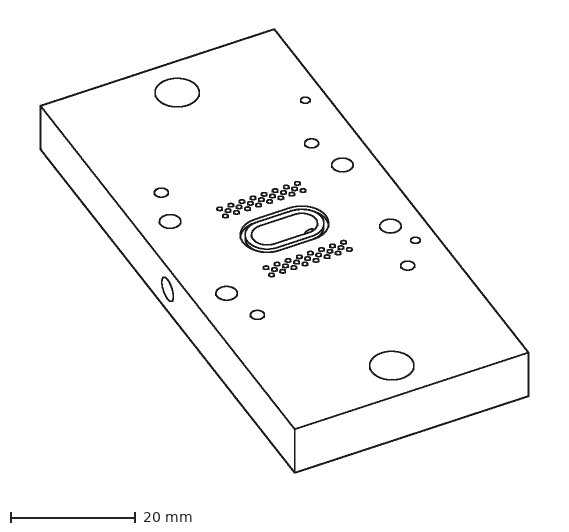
import cadquery as cq

plate_length = 90.0
plate_width = 42.0
plate_thickness = 9.2

pad_length = 21.15
pad_width = 16.5
pad_height = 2.5

end_spacing = 6.2
window_width = 5.0
groove_inner_width = 7.1
groove_outer_width = 8.6
groove_depth = 0.7

cross_bore_diameter = 4.05

mount_diameter = 7.1
mount_x = 38.0

bolt_diameter = 3.4
bolt_x = 10.0
bolt_y = 15.5
offset_bolt_x = 7.0

screw_diameter = 2.25
screw_x = 17.0
screw_y = 13.5

pin_diameter = 1.5
left_pin_x = -27.0
right_pin_x = 12.0
pin_y = 17.5

contact_diameter = 0.88
contact_group_x = 8.2
contact_span = 13.95
outer_rows = 8
middle_rows = outer_rows - 1
contact_pitch = contact_span / (outer_rows - 1)


def through_holes(points, diameter):
    """Vertical cylinders that reach through both the plate and the pad."""
    return (
        cq.Workplane("XY")
        .workplane(offset=-pad_height)
        .pushPoints(points)
        .circle(diameter / 2)
        .extrude(pad_height + plate_thickness)
    )


def oblong(width, bottom, top):
    """Round-ended block along Y around the shared end centres."""
    return (
        cq.Workplane("XY")
        .workplane(offset=bottom)
        .slot2D(end_spacing + width, width, 90)
        .extrude(top - bottom)
    )


def column(x, rows):
    """Evenly pitched points along Y, centred on the X axis."""
    return [(x, (row - (rows - 1) / 2) * contact_pitch) for row in range(rows)]


def plate_with_pad():
    plate = cq.Workplane("XY").box(plate_length, plate_width, plate_thickness, centered=(True, True, False))
    pad = (
        cq.Workplane("XY")
        .workplane(offset=-pad_height)
        .rect(pad_length, pad_width)
        .extrude(pad_height)
    )
    return plate.union(pad)


def seal_groove():
    floor = plate_thickness - groove_depth
    outer = oblong(groove_outer_width, floor, plate_thickness)
    return outer.cut(oblong(groove_inner_width, floor, plate_thickness))


def cross_bore():
    return (
        cq.Workplane("XZ")
        .center(0, plate_thickness / 2)
        .circle(cross_bore_diameter / 2)
        .extrude(plate_width / 2, both=True)
    )


mount_points = [(-mount_x, 0), (mount_x, 0)]
bolt_points = [(-bolt_x, bolt_y), (offset_bolt_x, bolt_y), (-bolt_x, -bolt_y), (bolt_x, -bolt_y)]
screw_points = [(x, y) for x in (-screw_x, screw_x) for y in (-screw_y, screw_y)]
pin_points = [(left_pin_x, pin_y), (right_pin_x, pin_y)]

result = (
    plate_with_pad()
    .cut(oblong(window_width, -pad_height, plate_thickness))
    .cut(seal_groove())
    .cut(cross_bore())
    .cut(through_holes(mount_points, mount_diameter))
    .cut(through_holes(bolt_points, bolt_diameter))
    .cut(through_holes(screw_points, screw_diameter))
    .cut(through_holes(pin_points, pin_diameter))
)

for group_x in (-contact_group_x, contact_group_x):
    for column_x in (group_x - contact_pitch / 2, group_x + contact_pitch / 2):
        result = result.cut(through_holes(column(column_x, outer_rows), contact_diameter))
    result = result.cut(through_holes(column(group_x, middle_rows), contact_diameter))